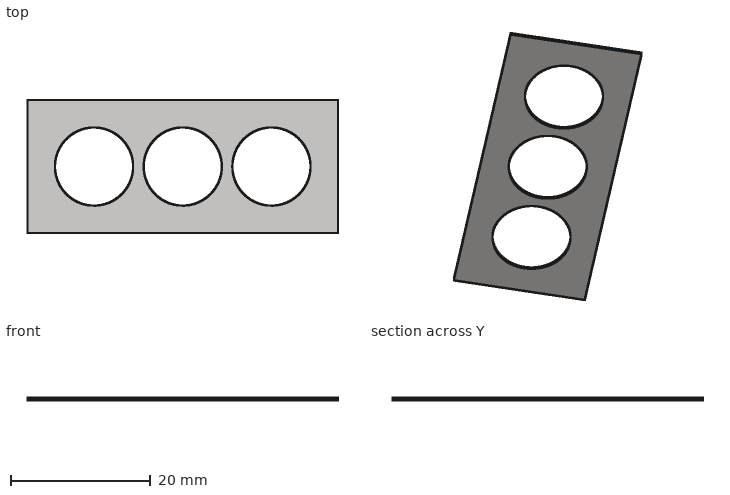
import cadquery as cq

length = 44.45
width = 19.05
thickness = 0.38

window_diameter = 11.15
window_count = 3
window_pitch = (length - width) / (window_count - 1)

plate = cq.Workplane("XY").box(length, width, thickness)

result = (
    plate.faces(">Z")
    .workplane()
    .rarray(window_pitch, 0.45, window_count, 1)
    .hole(window_diameter)
)